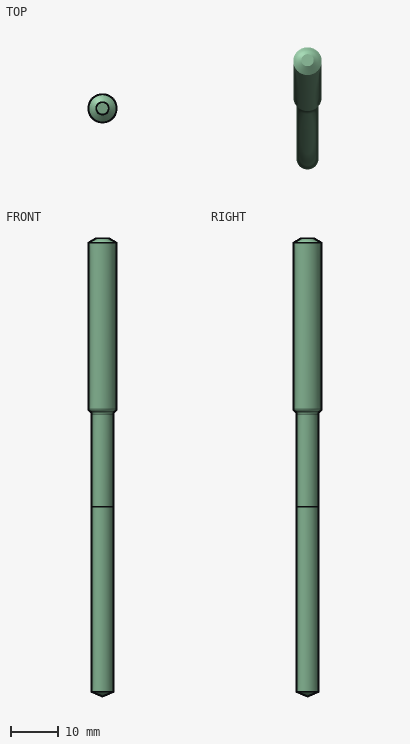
import cadquery as cq
import math

overall_length = 97.0
shank_diameter = 6.0
shank_end_diameter = 2.6
shank_end_angle = 30.0
shoulder_bottom = 59.8
shoulder_height = 1.2
shoulder_depth = 0.67
cutter_top = 40.2
point_angle = 134.0

shank_radius = shank_diameter / 2
shank_end_radius = shank_end_diameter / 2
neck_radius = shank_radius - shoulder_depth
cutter_radius = neck_radius
shank_end_height = (shank_radius - shank_end_radius) * math.tan(math.radians(shank_end_angle))
point_height = cutter_radius / math.tan(math.radians(point_angle / 2))
shoulder_top = shoulder_bottom + shoulder_height
shoulder_middle = (neck_radius + shoulder_depth / 2, shoulder_bottom + shoulder_height / 2)


def revolve_about_z(profile):
    """Revolve a closed (radius, height) profile a full turn about the Z axis."""
    return profile.close().revolve(360, (0, 0), (0, 1))


def make_holder():
    """Neck and shank, joined by a shoulder of a concave and a convex arc, with a coned free end."""
    profile = (
        cq.Workplane("XZ")
        .moveTo(0, cutter_top)
        .lineTo(neck_radius, cutter_top)
        .lineTo(neck_radius, shoulder_bottom)
        .tangentArcPoint(shoulder_middle, relative=False)
        .threePointArc(*convex_shoulder_points())
        .lineTo(shank_radius, overall_length - shank_end_height)
        .lineTo(shank_end_radius, overall_length)
        .lineTo(0, overall_length)
    )
    return revolve_about_z(profile)


def convex_shoulder_points():
    """Middle and end of the upper shoulder arc, which is tangent to the shank."""
    half_depth = shoulder_depth / 2
    half_height = shoulder_height / 2
    arc_radius = (half_depth ** 2 + half_height ** 2) / (2 * half_depth)
    half_sweep = math.asin(half_height / arc_radius) / 2
    arc_middle = (
        shank_radius - arc_radius * (1 - math.cos(half_sweep)),
        shoulder_top - arc_radius * math.sin(half_sweep),
    )
    return arc_middle, (shank_radius, shoulder_top)


def make_cutter():
    """Cylindrical cutting length with a conical drill point."""
    profile = (
        cq.Workplane("XZ")
        .moveTo(0, 0)
        .lineTo(cutter_radius, point_height)
        .lineTo(cutter_radius, cutter_top)
        .lineTo(0, cutter_top)
    )
    return revolve_about_z(profile)


holder = make_holder()
cutter = make_cutter()

result = cq.Compound.makeCompound([holder.val(), cutter.val()])